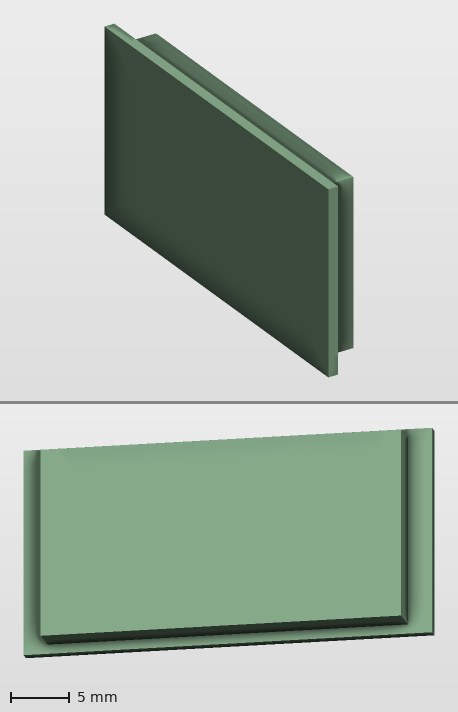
import cadquery as cq

plate_length = 35.4
plate_height = 18.0
total_depth = 3.85
plate_thickness = 1.0
block_length = 31.22
block_height = 16.35
block_depth = total_depth - plate_thickness


def make_front_plate():
    """Thin rectangular plate with its front face on Y = 0."""
    return cq.Workplane("XY").box(
        plate_length, plate_thickness, plate_height, centered=(True, False, True)
    )


def make_rear_block():
    """Smaller rectangular block centred on the back face of the plate."""
    return (
        cq.Workplane("XY")
        .box(block_length, block_depth, block_height, centered=(True, False, True))
        .translate((0, plate_thickness, 0))
    )


front_plate = make_front_plate()
rear_block = make_rear_block()

result = cq.Compound.makeCompound([front_plate.val(), rear_block.val()])